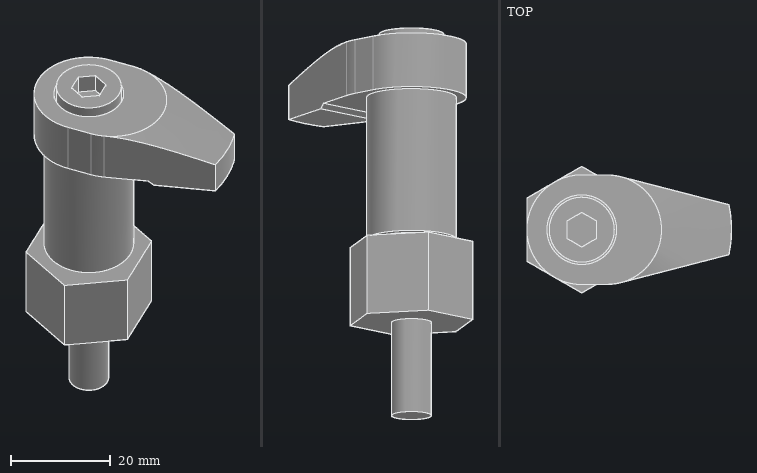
import cadquery as cq
import math

stud_length = 19.0
hex_height = 16.0
hub_height = 1.0
sleeve_length = 29.0
lever_height = 11.0
screw_top = 78
hex_top = stud_length + hex_height
sleeve_bottom = hex_top + hub_height
lever_bottom = sleeve_bottom + sleeve_length
lever_top = lever_bottom + lever_height

stud_diameter = 8.0
hex_across_flats = 22.0
hub_diameter = 14.0
sleeve_diameter = 18.0

boss_radius = hex_across_flats / 2
boss_shift = 5.0
flank_angle = 14.5
tip_x = 30.0
tip_top = 71.1
tip_drop = 0.9
step_start_x = 16.4
step_end_x = 17.5
tip_radius = tip_x - boss_shift

head_diameter = 13.0
bore_diameter = 14.0
head_height = 8.0
socket_across_flats = 6.0
socket_depth = 4.0
head_bottom = screw_top - head_height


def cylinder(diameter, bottom, height):
    return cq.Workplane("XY").workplane(offset=bottom).circle(diameter / 2).extrude(height)


def hexagon(across_flats, bottom, height):
    """Hexagonal prism with two flats facing -X and +X."""
    corner_diameter = across_flats / math.cos(math.pi / 6)
    prism = cq.Workplane("XY").polygon(6, corner_diameter).extrude(height)
    return prism.rotate((0, 0, 0), (0, 0, 1), 30).translate((0, 0, bottom))


def polar_point(radius, angle):
    """Point at an angle in degrees about the second boss centre."""
    turn = math.radians(angle)
    return (boss_shift + radius * math.cos(turn), radius * math.sin(turn))


def lever_plan():
    """Boss with straight flanks tapering to an arc tip about the second boss centre."""
    tangent_angle = 90 - flank_angle
    tip_angle = tangent_angle - math.degrees(math.acos(boss_radius / tip_radius))
    mid_angle = 90 - flank_angle / 2
    plan = (
        cq.Workplane("XY").workplane(offset=lever_bottom - tip_drop)
        .moveTo(0, boss_radius)
        .threePointArc((-boss_radius, 0), (0, -boss_radius))
        .lineTo(boss_shift, -boss_radius)
        .threePointArc(polar_point(boss_radius, -mid_angle), polar_point(boss_radius, -tangent_angle))
        .lineTo(*polar_point(tip_radius, -tip_angle))
        .threePointArc((tip_x, 0), polar_point(tip_radius, tip_angle))
        .lineTo(*polar_point(boss_radius, tangent_angle))
        .threePointArc(polar_point(boss_radius, mid_angle), (boss_shift, boss_radius))
        .close()
    )
    return plan.extrude(lever_height + tip_drop)


def underside_cut():
    """Material below the boss, ending in the sloping step under the arm."""
    arm_bottom = lever_bottom - tip_drop
    return (
        cq.Workplane("XZ")
        .polyline([
            (-boss_radius, arm_bottom),
            (step_end_x, arm_bottom),
            (step_start_x, lever_bottom),
            (-boss_radius, lever_bottom),
        ])
        .close()
        .extrude(boss_radius, both=True)
    )


def conical_top_cut():
    """Material above the cone that falls from the boss rim to the tip."""
    slope = (tip_top - lever_top) / (tip_radius - boss_radius)
    outer_radius = tip_radius + boss_radius
    outer_bottom = lever_top + slope * (outer_radius - boss_radius)
    ring = (
        cq.Workplane("XZ")
        .polyline([
            (boss_radius, lever_top),
            (outer_radius, outer_bottom),
            (outer_radius, lever_top),
        ])
        .close()
        .revolve(360, (0, 0, 0), (0, 1, 0))
        .translate((boss_shift, 0, 0))
    )
    arm_side = (
        cq.Workplane("XY")
        .box(outer_radius, 2 * outer_radius, lever_top, centered=(False, True, False))
        .translate((boss_shift, 0, 0))
    )
    return ring.intersect(arm_side)


def make_handle():
    """Lever and sleeve in one piece, counterbored for the screw head."""
    lever = lever_plan().cut(underside_cut()).cut(conical_top_cut())
    sleeve = cylinder(sleeve_diameter, sleeve_bottom, sleeve_length)
    bore = cylinder(bore_diameter, head_bottom, lever_top - head_bottom)
    return lever.union(sleeve).cut(bore)


def make_hex_stud():
    """Hexagon with a stud below and a short round hub above."""
    stud = cylinder(stud_diameter, 0, stud_length)
    hub = cylinder(hub_diameter, hex_top, hub_height)
    return hexagon(hex_across_flats, stud_length, hex_height).union(stud).union(hub)


def make_cap_screw():
    """Round screw head with a blind hexagon socket."""
    head = cylinder(head_diameter, head_bottom, head_height)
    socket = hexagon(socket_across_flats, screw_top - socket_depth, socket_depth)
    return head.cut(socket)


handle = make_handle()
hex_stud = make_hex_stud()
cap_screw = make_cap_screw()

result = cq.Compound.makeCompound([handle.val(), hex_stud.val(), cap_screw.val()])